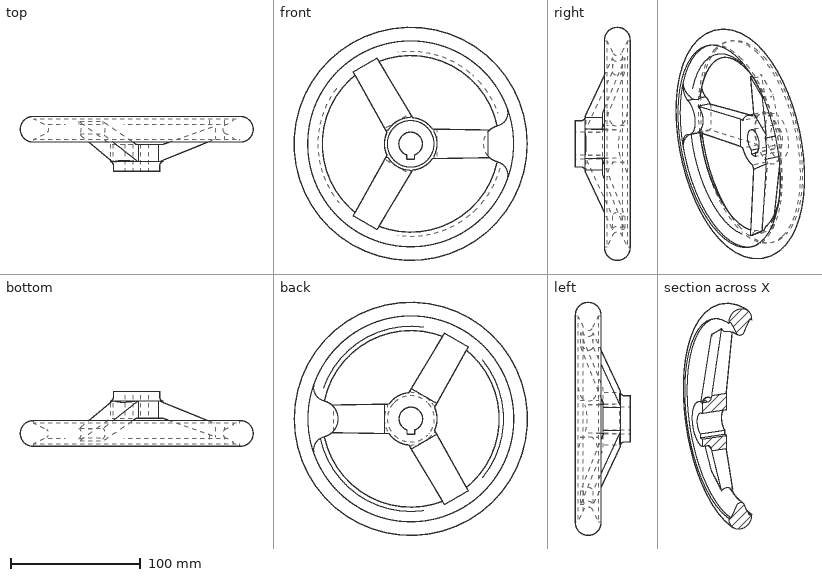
import cadquery as cq
import math

wheel_radius = 90.0
rim_depth = 20.0
total_depth = 42.5

grip_radius = rim_depth / 2
grip_center_radius = wheel_radius - grip_radius
step_radius = grip_center_radius - 0.5
opening_radius = 68.0
nose_end_radius = 71.5
nose_end_depth = 13.9
step_depth = 18.0
web_back = rim_depth - step_depth
web_depth = step_depth - web_back
nose_back_depth = rim_depth - nose_end_depth

collar_radius = 18.0
hub_radius = 20.3
hub_back = 21.6
hub_shoulder = 35.0
collar_start = 38.2
bore_radius = 9.0
key_width = 6.0
key_reach = 11.7

spoke_count = 3
spoke_inner_radius = 14.4
spoke_outer_radius = 70.2
spoke_inner_half_width = 11.5
spoke_outer_half_width = 10.6
spoke_front_slope = 0.405
spoke_back_slope = 0.35

boss_center = 70.5
boss_radius = 14.4
flare_start = (67.9, 14.2)
flare_middle = (73.0, 18.0)
flare_end = (74.9, 25.2)


def revolve_about_y(profile):
    return profile.close().revolve(360, (0, 0), (0, 1))


def make_rim():
    profile = (
        cq.Workplane("XY")
        .moveTo(nose_end_radius, -nose_back_depth)
        .lineTo(step_radius, -web_back)
        .lineTo(step_radius, 0)
        .lineTo(grip_center_radius, 0)
        .threePointArc((wheel_radius, -grip_radius), (grip_center_radius, -rim_depth))
        .lineTo(step_radius, -rim_depth)
        .lineTo(step_radius, -step_depth)
        .lineTo(nose_end_radius, -nose_end_depth)
        .threePointArc((opening_radius, -rim_depth / 2), (nose_end_radius, -nose_back_depth))
    )
    return revolve_about_y(profile)


def make_hub():
    flare_height = collar_start - hub_shoulder
    flare_width = hub_radius - collar_radius
    diagonal = math.sqrt(0.5)
    neck_middle = (
        hub_radius - flare_width * diagonal,
        -(collar_start - flare_height * diagonal),
    )
    profile = (
        cq.Workplane("XY")
        .moveTo(0, -hub_back)
        .lineTo(hub_radius, -hub_back)
        .lineTo(hub_radius, -hub_shoulder)
        .threePointArc(neck_middle, (collar_radius, -collar_start))
        .lineTo(collar_radius, -total_depth)
        .lineTo(0, -total_depth)
    )
    return revolve_about_y(profile)


def make_spoke(angle):
    def front_depth(radius):
        return hub_shoulder - spoke_front_slope * (radius - collar_radius)

    def back_depth(radius):
        return hub_back - spoke_back_slope * (radius - hub_radius)

    side = (
        cq.Workplane("XY")
        .moveTo(spoke_inner_radius, -hub_back)
        .lineTo(hub_radius, -hub_back)
        .lineTo(spoke_outer_radius, -back_depth(spoke_outer_radius))
        .lineTo(spoke_outer_radius, -front_depth(spoke_outer_radius))
        .lineTo(collar_radius, -hub_shoulder)
        .lineTo(spoke_inner_radius, -hub_shoulder)
        .close()
        .extrude(spoke_inner_half_width, both=True)
    )
    width = (
        cq.Workplane("XZ")
        .moveTo(spoke_inner_radius, -spoke_inner_half_width)
        .lineTo(spoke_outer_radius, -spoke_outer_half_width)
        .lineTo(spoke_outer_radius, spoke_outer_half_width)
        .lineTo(spoke_inner_radius, spoke_inner_half_width)
        .close()
        .extrude(total_depth)
    )
    return side.intersect(width).rotate((0, 0, 0), (0, 1, 0), angle)


def make_boss():
    boss_plane = cq.Workplane("XZ", origin=(0, -web_back, 0))
    cylinder = boss_plane.center(boss_center, 0).circle(boss_radius).extrude(web_depth)
    outer_x = math.sqrt(grip_center_radius**2 - flare_end[1] ** 2)
    flare = (
        cq.Workplane("XZ", origin=(0, -web_back, 0))
        .moveTo(flare_start[0], -flare_start[1])
        .threePointArc((flare_middle[0], -flare_middle[1]), (flare_end[0], -flare_end[1]))
        .lineTo(outer_x, -flare_end[1])
        .threePointArc((grip_center_radius, 0), (outer_x, flare_end[1]))
        .lineTo(*flare_end)
        .threePointArc(flare_middle, flare_start)
        .close()
        .extrude(web_depth)
    )
    limit = cq.Workplane("XZ", origin=(0, -web_back, 0)).circle(grip_center_radius).extrude(web_depth)
    return cylinder.union(flare).intersect(limit)


def make_bore():
    bore = cq.Workplane("XZ").circle(bore_radius).extrude(total_depth)
    keyway = (
        cq.Workplane("XZ")
        .center(0, -key_reach / 2)
        .rect(key_width, key_reach)
        .extrude(total_depth)
    )
    return bore.union(keyway)


wheel = make_rim().union(make_hub()).union(make_boss())
for index in range(spoke_count):
    wheel = wheel.union(make_spoke(index * 360 / spoke_count))

result = wheel.cut(make_bore())